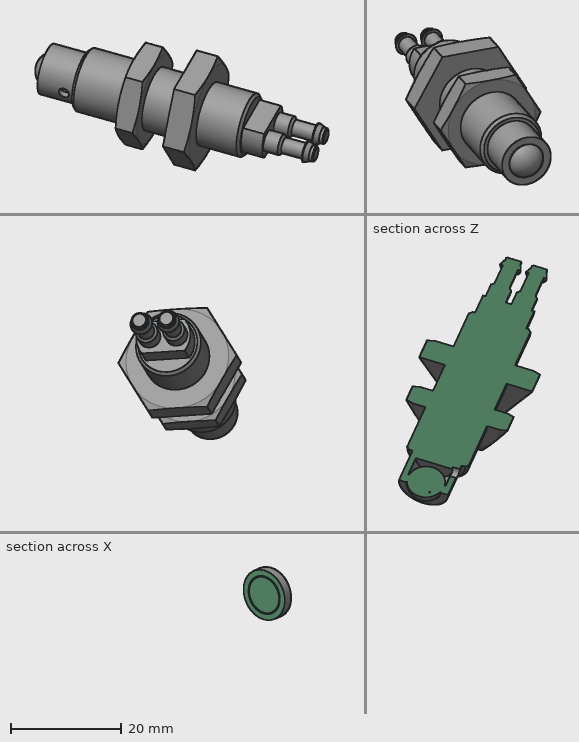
import cadquery as cq
import math

overall_length = 55.7

body_start = 9.15
body_end = 42.05
body_diameter = 12.0
body_chamfer = 0.55

nose_start = 2.1
nose_diameter = 9.6
ball_diameter = 7.0
ball_radius = ball_diameter / 2
mouth_diameter = 6.6
cavity_start = ball_radius + 0.45
cavity_end = 7.8
cavity_radius = 7.1 / 2
side_hole_x = 7.3
side_hole_diameter = 2.0

front_nut_start = 19.05
front_nut_thickness = 4.0
front_nut_flats = 17.0
rear_nut_start = 29.1
rear_nut_thickness = 4.5
rear_nut_flats = 19.0
nut_chamfer_angle = math.radians(15)

block_end = 46.15
block_diameter = 10.0
block_height = 6.0

stem_offset = 2.5
stem_radius = 2.0
stem_shoulder = 48.95
stem_cone_length = 0.5
tube_radius = 1.5
barb_start = 53.7
barb_rim_width = 0.15
barb_cone_end = 54.85
barb_cone_end_radius = 1.6
tip_end_radius = 2.5 / 2
tip_chamfer_length = 0.2
overlap = 0.55


def cylinder_x(start, end, diameter):
    """Cylinder on the sensor axis between two X positions."""
    return cq.Workplane("YZ", origin=(start, 0, 0)).circle(diameter / 2).extrude(end - start)


def revolve_x(profile):
    """Revolve a closed (X, radius) profile about the X axis."""
    return profile.close().revolve(360, (0, 0, 0), (1, 0, 0))


def make_nut(start, thickness, flats, chamfer_front):
    """Hexagon with corners on Y; the chamfer cones start at the inscribed circle."""
    corner_radius = flats / math.sqrt(3)
    flat_radius = flats / 2
    drop = (corner_radius - flat_radius) * math.tan(nut_chamfer_angle)
    end = start + thickness
    nut = cq.Workplane("YZ", origin=(start, 0, 0)).polygon(6, 2 * corner_radius).extrude(thickness)
    envelope = cq.Workplane("XY").moveTo(start, 0)
    if chamfer_front:
        envelope = envelope.lineTo(start, flat_radius).lineTo(start + drop, corner_radius)
    else:
        envelope = envelope.lineTo(start, corner_radius)
    envelope = envelope.lineTo(end - drop, corner_radius).lineTo(end, flat_radius).lineTo(end, 0)
    return nut.intersect(revolve_x(envelope))


def make_nose():
    """Nose sleeve holding the ball, with a cavity behind it and a side hole into the cavity."""
    nose = cylinder_x(nose_start, body_start, nose_diameter)
    ball = cq.Workplane("XY").sphere(ball_radius).translate((ball_radius, 0, 0))
    mouth_end = ball_radius - math.sqrt(ball_radius**2 - (mouth_diameter / 2) ** 2)
    nose = nose.cut(cylinder_x(nose_start, mouth_end, mouth_diameter)).union(ball)

    ball_edge_radius = math.sqrt(ball_radius**2 - (cavity_start - ball_radius) ** 2)
    ball_middle = ball_radius * math.sqrt(0.5)
    cavity = (
        cq.Workplane("XY")
        .moveTo(cavity_start, ball_edge_radius)
        .lineTo(cavity_start, cavity_radius)
        .lineTo(cavity_end, cavity_radius)
        .lineTo(cavity_end, 0)
        .lineTo(ball_diameter, 0)
        .threePointArc((ball_radius + ball_middle, ball_middle), (cavity_start, ball_edge_radius))
    )
    nose = nose.cut(revolve_x(cavity))

    hole_floor = math.sqrt(cavity_radius**2 - (side_hole_diameter / 2) ** 2)
    side_hole = (
        cq.Workplane("XZ", origin=(side_hole_x, -hole_floor, 0))
        .circle(side_hole_diameter / 2)
        .extrude(nose_diameter / 2)
    )
    return nose.cut(side_hole)


def make_block():
    """Round block with flats on its top and bottom."""
    length = block_end - body_end
    flats = cq.Workplane("XY").box(length, block_diameter, block_height)
    flats = flats.translate((body_end + length / 2, 0, 0))
    return cylinder_x(body_end, block_end, block_diameter).intersect(flats)


def make_stem(y_position):
    """Stepped hose stem ending in a barb."""
    profile = cq.Workplane("XY").polyline([
        (block_end - overlap, 0),
        (block_end - overlap, stem_radius),
        (stem_shoulder, stem_radius),
        (stem_shoulder + stem_cone_length, tube_radius),
        (barb_start, tube_radius),
        (barb_start, stem_radius),
        (barb_start + barb_rim_width, stem_radius),
        (barb_cone_end, barb_cone_end_radius),
        (barb_cone_end, tube_radius),
        (overall_length - tip_chamfer_length, tube_radius),
        (overall_length, tip_end_radius),
        (overall_length, 0),
    ])
    return revolve_x(profile).translate((0, y_position, 0))


body = cylinder_x(body_start, body_end, body_diameter).edges().chamfer(body_chamfer)
result = body.union(make_nose()).union(make_block())
result = result.union(make_nut(front_nut_start, front_nut_thickness, front_nut_flats, True))
result = result.union(make_nut(rear_nut_start, rear_nut_thickness, rear_nut_flats, False))
for side in (-1, 1):
    result = result.union(make_stem(side * stem_offset))